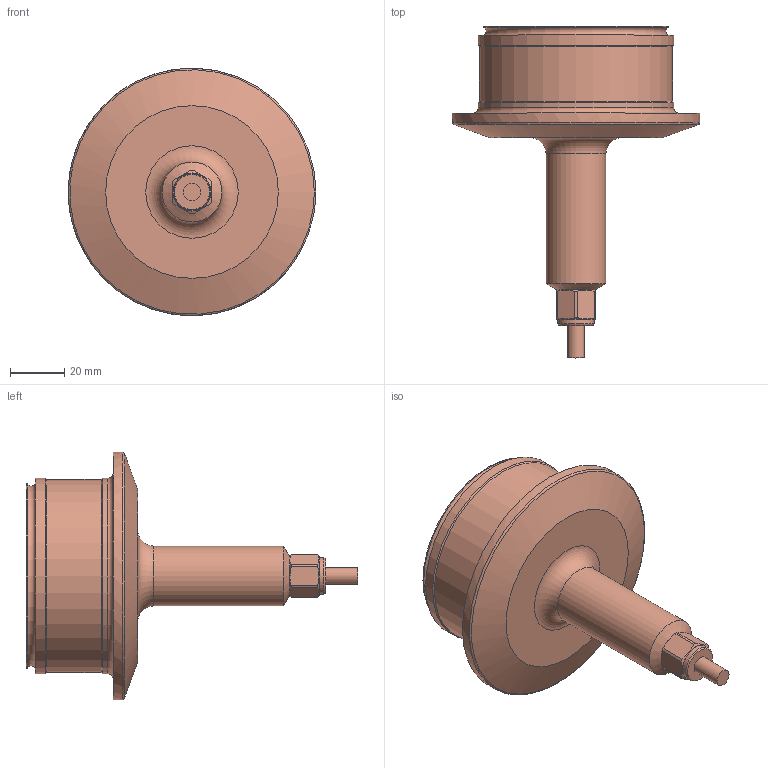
import cadquery as cq
import math

total_length = 122.0

lip_diameter = 68.0
lip_end = 0.4
groove_depth = 1.0
band_diameter = 71.9
body_diameter = 71.0
first_band_start = 3.3
first_band_end = 7.0
second_band_start = 28.1
head_fillet = 2.0

flange_diameter = 91.0
flange_start = 32.0
flange_rim_end = 36.0
flange_edge_radius = 0.8
cone_face_diameter = 63.5
flange_face = 41.0

stem_diameter = 22.0
stem_root_fillet = 6.0
stem_end = 94.7
taper_diameter = 14.0
taper_end = 96.9

nut_sides = 6
nut_across_flats = 14.3
nut_corner_diameter = 16.0
nut_chamfer_angle = 30.0
nut_end = 107.8
collar_diameter = 13.6
collar_chamfer_height = 0.6
collar_chamfer_width = 0.35
collar_end = 110.1
cable_diameter = 6.3


def place_along_axis(solid):
    """Turn a solid built along +Z so that it runs along -Y from the head end."""
    return solid.rotate((0, 0, 0), (1, 0, 0), 90).translate((0, total_length / 2, 0))


def cylinder(diameter, start, end):
    return cq.Workplane("XY").workplane(offset=start).circle(diameter / 2).extrude(end - start)


def make_head_and_stem():
    """Revolve the outline (radius, axial position) of the head, flange and stem."""
    lip_radius = lip_diameter / 2
    band_radius = band_diameter / 2
    body_radius = body_diameter / 2
    band_step = band_radius - body_radius
    stem_radius = stem_diameter / 2
    groove_middle = (lip_end + first_band_start) / 2
    fillet_start = flange_start - head_fillet
    fillet_mid_offset = head_fillet * (1 - math.sqrt(0.5))
    root_mid_offset = stem_root_fillet * (1 - math.sqrt(0.5))

    outline = (
        cq.Workplane("XY")
        .moveTo(0, 0)
        .lineTo(lip_radius, 0)
        .lineTo(lip_radius, lip_end)
        .threePointArc((lip_radius - groove_depth, groove_middle), (lip_radius, first_band_start))
        .lineTo(band_radius, first_band_start)
        .lineTo(band_radius, first_band_end)
        .lineTo(body_radius, first_band_end + band_step)
        .lineTo(body_radius, second_band_start - band_step)
        .lineTo(band_radius, second_band_start)
        .lineTo(band_radius, fillet_start)
        .threePointArc(
            (band_radius + fillet_mid_offset, flange_start - fillet_mid_offset),
            (band_radius + head_fillet, flange_start),
        )
        .lineTo(flange_diameter / 2, flange_start)
        .lineTo(flange_diameter / 2, flange_rim_end)
        .lineTo(cone_face_diameter / 2, flange_face)
        .lineTo(stem_radius + stem_root_fillet, flange_face)
        .threePointArc(
            (stem_radius + root_mid_offset, flange_face + root_mid_offset),
            (stem_radius, flange_face + stem_root_fillet),
        )
        .lineTo(stem_radius, stem_end)
        .lineTo(taper_diameter / 2, taper_end)
        .lineTo(0, taper_end)
        .close()
    )
    body = outline.revolve(360, (0, 0, 0), (0, 1, 0)).rotate((0, 0, 0), (1, 0, 0), 90)
    rim_corner = cq.selectors.NearestToPointSelector((0, 0, flange_rim_end))
    return body.edges("%CIRCLE").edges(rim_corner).fillet(flange_edge_radius)


def make_nut():
    """Hexagon with flats facing +/-X, its corners rounded and chamfered at both ends."""
    length = nut_end - taper_end
    circumscribed_diameter = nut_across_flats / math.cos(math.pi / nut_sides)
    hexagon = (
        cq.Workplane("XY")
        .workplane(offset=taper_end)
        .transformed(rotate=(0, 0, 90))
        .polygon(nut_sides, circumscribed_diameter)
        .extrude(length)
    )
    chamfer_width = (nut_corner_diameter - taper_diameter) / 2
    chamfer_height = chamfer_width * math.tan(math.radians(nut_chamfer_angle))
    envelope = cylinder(nut_corner_diameter, taper_end, nut_end)
    envelope = envelope.faces("<Z or >Z").chamfer(chamfer_height, chamfer_width)
    return hexagon.intersect(envelope)


def make_collar():
    collar = cylinder(collar_diameter, nut_end, collar_end)
    return collar.faces(">Z").chamfer(collar_chamfer_height, collar_chamfer_width)


def make_cable():
    return cylinder(cable_diameter, collar_end, total_length)


assembly = make_head_and_stem().union(make_nut()).union(make_collar()).union(make_cable())
result = place_along_axis(assembly)